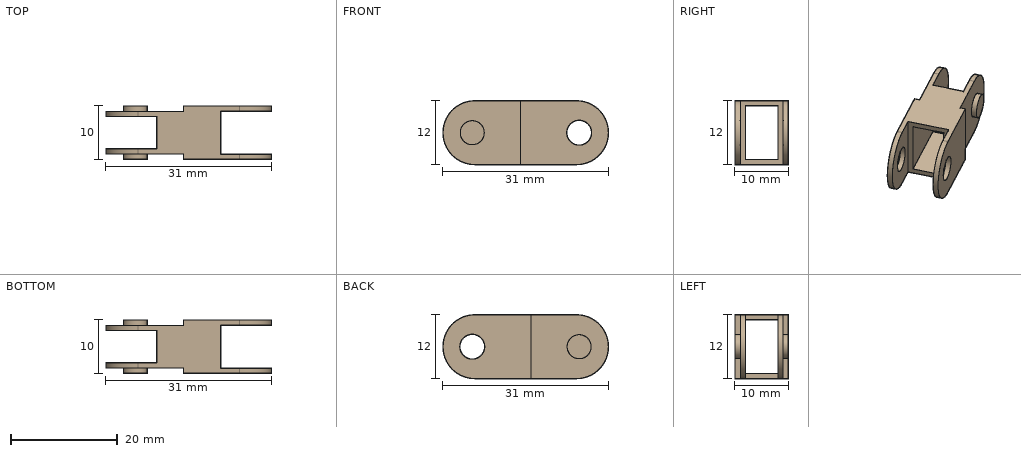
import cadquery as cq

length = 31.0
height = 12.0
plate_thickness = 1.0

hole_end_width = 10.0
hole_end_gap = hole_end_width - 2 * plate_thickness
pin_end_width = hole_end_gap
pin_end_gap = pin_end_width - 2 * plate_thickness

pin_x = 5.5
pitch = 20.0
hole_x = pin_x + pitch
step_x = 14.5
web_start_x = 9.5
web_length = 12.0
web_end_x = web_start_x + web_length

pin_diameter = 4.5
hole_diameter = 4.6
web_thickness = 1.0
window_height = height - 2 * web_thickness


def centered_box(start_x, end_x, width, box_height):
    """Box spanning start_x to end_x, centred on Y and Z."""
    size_x = end_x - start_x
    box = cq.Workplane("XY").box(size_x, width, box_height)
    return box.translate((start_x + size_x / 2, 0, 0))


def cross_cylinder(x, diameter, width):
    """Cylinder along Y at station x, centred on Y and Z."""
    return cq.Workplane("XZ").center(x, 0).circle(diameter / 2).extrude(width / 2, both=True)


def make_body():
    """Stepped block with full-round ends."""
    outline = (
        cq.Workplane("XZ")
        .center(length / 2, 0)
        .slot2D(length, height)
        .extrude(hole_end_width / 2, both=True)
    )
    pin_half = centered_box(0, step_x, pin_end_width, height)
    hole_half = centered_box(step_x, length, hole_end_width, height)
    return outline.intersect(pin_half.union(hole_half))


def make_pins():
    """Stub pins on the outer faces of the pin-end plates."""
    pins = cross_cylinder(pin_x, pin_diameter, hole_end_width)
    return pins.cut(centered_box(0, step_x, pin_end_gap, height))


def cut_openings(body):
    """Open the fork at each end, the window through the middle and the pin holes."""
    body = body.cut(centered_box(0, web_start_x, pin_end_gap, height))
    body = body.cut(centered_box(web_end_x, length, hole_end_gap, height))
    body = body.cut(centered_box(web_start_x, web_end_x, pin_end_gap, window_height))
    return body.cut(cross_cylinder(hole_x, hole_diameter, hole_end_width))


result = cut_openings(make_body()).union(make_pins())